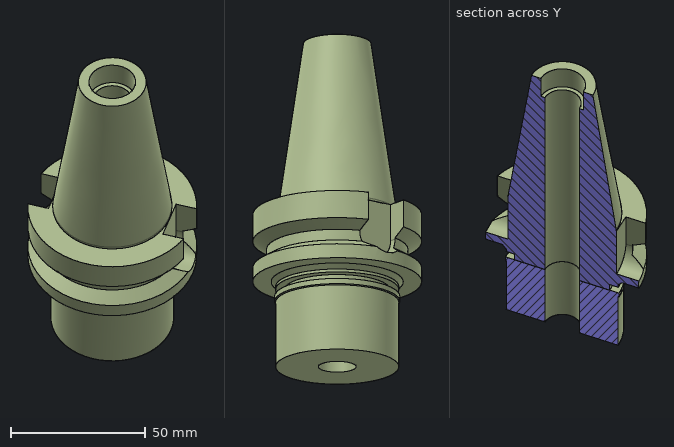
import cadquery as cq

total_height = 125.4
bore_radius = 7.0

nut_radius = 23.0
nut_collar_radius = 23.3
nut_height = 27.3
collar_bottom = 25.0
collar_chamfer = nut_collar_radius - nut_radius

neck_radius = 19.5
neck_top = 30.0
shoulder_radius = 23.0
shoulder_cone_bottom = 31.1
shoulder_cone_radius = 24.6

flange_radius = 31.5
flange_bottom = 33.0
flange_top = 59.1
groove_radius = 26.3
groove_lower_edge = 38.4
groove_floor_bottom = 41.4
groove_floor_top = 45.5
groove_upper_edge = 48.5

taper_base_radius = 22.2
taper_tip_radius = 12.7
taper_base = 60.0

counterbore_radius = 8.7
counterbore_depth = 9.3

slot_width = 16.3
slot_floor_x = 22.3
slot_bottom = 36.9


def revolve_profile(points):
    """Revolve a closed (radius, height) outline around the Z axis."""
    return cq.Workplane("XZ").polyline(points).close().revolve(360, (0, 0), (0, 1))


def make_nut():
    """Ring-shaped nut with a slightly wider collar at its top."""
    return revolve_profile([
        (bore_radius, 0),
        (nut_radius, 0),
        (nut_radius, collar_bottom),
        (nut_collar_radius, collar_bottom + collar_chamfer),
        (nut_collar_radius, nut_height),
        (bore_radius, nut_height),
    ])


def make_drive_slot(side):
    """Cutter for one slot: round at the bottom, open at the flange top and rim."""
    slot_radius = slot_width / 2
    arc_center = slot_bottom + slot_radius
    return (
        cq.Workplane("YZ", origin=(side * slot_floor_x, 0, 0))
        .moveTo(-slot_radius, flange_top)
        .lineTo(-slot_radius, arc_center)
        .threePointArc((0, slot_bottom), (slot_radius, arc_center))
        .lineTo(slot_radius, flange_top)
        .close()
        .extrude(side * (flange_radius - slot_floor_x))
    )


def make_holder():
    """Tool holder: neck, grooved flange and tapered shank, bored through."""
    counterbore_floor = total_height - counterbore_depth
    holder = revolve_profile([
        (bore_radius, nut_height),
        (neck_radius, nut_height),
        (neck_radius, neck_top),
        (shoulder_radius, neck_top),
        (shoulder_radius, shoulder_cone_bottom),
        (shoulder_cone_radius, flange_bottom),
        (flange_radius, flange_bottom),
        (flange_radius, groove_lower_edge),
        (groove_radius, groove_floor_bottom),
        (groove_radius, groove_floor_top),
        (flange_radius, groove_upper_edge),
        (flange_radius, flange_top),
        (taper_base_radius, flange_top),
        (taper_base_radius, taper_base),
        (taper_tip_radius, total_height),
        (counterbore_radius, total_height),
        (counterbore_radius, counterbore_floor),
        (bore_radius, counterbore_floor),
    ])
    for side in (-1, 1):
        holder = holder.cut(make_drive_slot(side))
    return holder


nut = make_nut()
holder = make_holder()

result = cq.Compound.makeCompound([nut.val(), holder.val()])